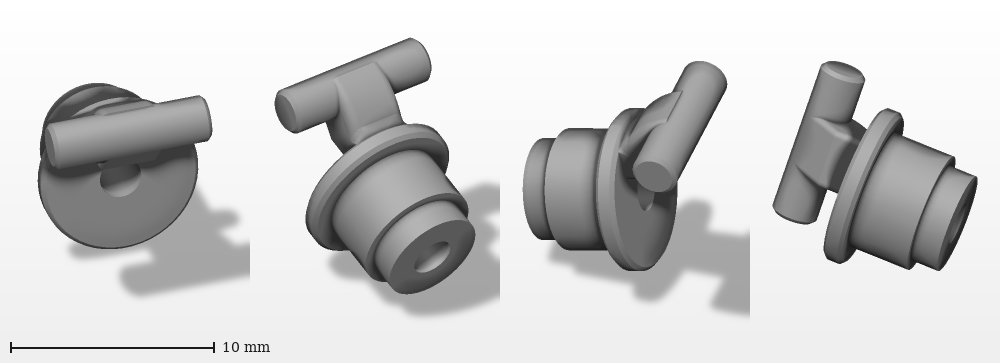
import cadquery as cq
import math

TILT = 15.0
NOSE_DIAMETER = 5.0
NOSE_LENGTH = 1.4
BARREL_DIAMETER = 6.0
BARREL_LENGTH = 3.1
FLANGE_DIAMETER = 8.0
FLANGE_THICKNESS = 1.0
EDGE_CHAMFER = 0.2
BORE_DIAMETER = 2.1

FLANGE_BACK = NOSE_LENGTH + BARREL_LENGTH
FLANGE_FACE = FLANGE_BACK + FLANGE_THICKNESS
FACE_RADIUS = FLANGE_DIAMETER / 2 - EDGE_CHAMFER

BAR_DIAMETER = 2.3
BAR_LENGTH = FLANGE_DIAMETER
BAR_OFFSET_Y = -0.11
BAR_REACH = 2.93
BAR_RADIUS = BAR_DIAMETER / 2
BAR_X = FLANGE_FACE + BAR_REACH
BAR_Z = FLANGE_DIAMETER / 2

ARM_WIDTH = 3.0
ARM_BOTTOM = 1.67
ARM_HEEL_REACH = 1.95
ARCH_START_HEIGHT = 3.27
ARCH_MID_REACH = 1.44
ARCH_MID_HEIGHT = 4.77
CREST_HEIGHT = 0.11
TOP_FILLET = 0.5
BOTTOM_FILLET = 0.3

ROOT_LENGTH = 0.5

HALF_WIDTH = ARM_WIDTH / 2
ROOT_END = FLANGE_FACE + ROOT_LENGTH


def disc(start, length, diameter):
    return cq.Workplane("YZ", origin=(start, 0, 0)).circle(diameter / 2).extrude(length)


def make_body():
    nose = disc(0, NOSE_LENGTH, NOSE_DIAMETER)
    barrel = disc(NOSE_LENGTH, BARREL_LENGTH, BARREL_DIAMETER)
    flange = disc(FLANGE_BACK, FLANGE_THICKNESS, FLANGE_DIAMETER).edges().chamfer(EDGE_CHAMFER)
    return nose.union(barrel).union(flange)


def make_bar():
    return (
        cq.Workplane("XZ", origin=(BAR_X, BAR_OFFSET_Y, BAR_Z))
        .circle(BAR_RADIUS)
        .extrude(BAR_LENGTH / 2, both=True)
        .edges()
        .chamfer(EDGE_CHAMFER)
    )


def bar_tangent_point(x, z):
    """Point where the line from (x, z) touches the far lower side of the bar."""
    dx = x - BAR_X
    dz = z - BAR_Z
    angle = math.atan2(dz, dx) + math.acos(BAR_RADIUS / math.hypot(dx, dz))
    return BAR_X + BAR_RADIUS * math.cos(angle), BAR_Z + BAR_RADIUS * math.sin(angle)


def make_arm():
    """Arm from the end of the root to the bar, with its long edges rounded."""
    heel = (FLANGE_FACE + ARM_HEEL_REACH, ARM_BOTTOM)
    arch_middle = (FLANGE_FACE + ARCH_MID_REACH, ARCH_MID_HEIGHT)
    arm = (
        cq.Workplane("XZ")
        .moveTo(FLANGE_FACE, ARM_BOTTOM)
        .lineTo(*heel)
        .lineTo(*bar_tangent_point(*heel))
        .lineTo(BAR_X, BAR_Z)
        .lineTo(BAR_X, BAR_Z + BAR_RADIUS + CREST_HEIGHT)
        .threePointArc(arch_middle, (FLANGE_FACE, ARCH_START_HEIGHT))
        .close()
        .extrude(HALF_WIDTH, both=True)
    )
    arm = arm.edges("%CIRCLE").fillet(TOP_FILLET)
    underside = cq.selectors.BoxSelector(
        (ROOT_END, -ARM_WIDTH, 0),
        (BAR_X, ARM_WIDTH, BAR_Z - BAR_RADIUS),
    )
    arm = arm.edges(underside).edges("not |Y").fillet(BOTTOM_FILLET)
    root_space = cq.Workplane("XY").box(ROOT_END, ARM_WIDTH, BAR_Z * 2, centered=(False, True, False))
    return arm.cut(root_space)


def rim_point(y):
    return y, math.sqrt(FACE_RADIUS**2 - y**2)


def make_root(arm):
    """Loft from a section under the rim of the flange face to the flat end of the arm."""
    low = ARM_BOTTOM + BOTTOM_FILLET
    floor = HALF_WIDTH - BOTTOM_FILLET
    roof = HALF_WIDTH - TOP_FILLET
    shoulder = (HALF_WIDTH + roof) / 2
    corner = BOTTOM_FILLET * math.sqrt(0.5)
    rim_section = (
        cq.Workplane("YZ", origin=(FLANGE_FACE, 0, 0))
        .moveTo(-floor, ARM_BOTTOM)
        .lineTo(floor, ARM_BOTTOM)
        .threePointArc((floor + corner, low - corner), (HALF_WIDTH, low))
        .lineTo(*rim_point(HALF_WIDTH))
        .threePointArc(rim_point(shoulder), rim_point(roof))
        .threePointArc(rim_point(0), rim_point(-roof))
        .threePointArc(rim_point(-shoulder), rim_point(-HALF_WIDTH))
        .lineTo(-HALF_WIDTH, low)
        .threePointArc((-floor - corner, low - corner), (-floor, ARM_BOTTOM))
        .close()
        .val()
    )
    arm_end = arm.faces("<X").val().outerWire()
    return cq.Workplane(cq.Solid.makeLoft([rim_section, arm_end], True))


bore = disc(0, FLANGE_FACE, BORE_DIAMETER)
arm = make_arm()
part = make_body().cut(bore).union(make_root(arm)).union(arm).union(make_bar())
result = part.rotate((0, 0, 0), (0, 1, 0), -TILT)